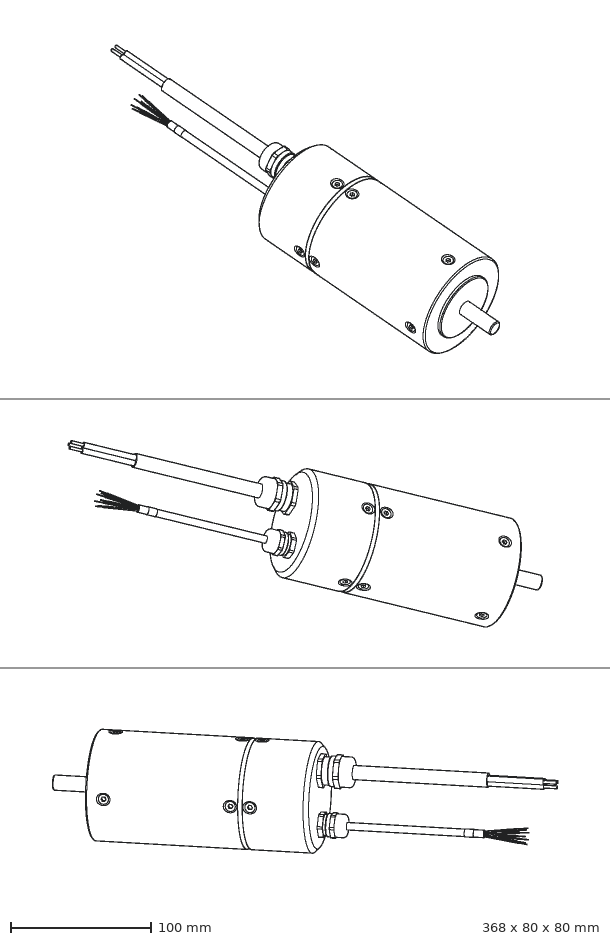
import cadquery as cq
import math


OVERLAP = 1.0
CLEARANCE = 3.5

housing_diameter = 80.0
housing_radius = housing_diameter / 2
housing_length = 162.5
rear_chamfer = 3.3
front_chamfer = 1.0
boss_diameter = 50.8
boss_length = 2.5
boss_chamfer = 0.7
shaft_diameter = 11.0
shaft_length = 29.5
shaft_chamfer = 0.7

band_start = 48.0
band_width = 3.3
band_depth = 0.5

screw_stations = (42.5, 56.5, 149.5)
screws_around = 4
countersink_diameter = 10.0
head_diameter = 7.5
head_recess = 0.7
socket_diameter = 3.5
socket_depth = 2.2

gland_offset = 20.0
hex_corner_ratio = 1.1
nut_fillet = 2.5
rear_nut_chamfer = 0.55

power_length = 173.5
power_gland_diameter = 22.0
power_neck_diameter = 20.2
power_nut_span = (7.7, 24.5)
power_lock_hex_span = (11.8, 16.0)
power_hex_turn = -8
power_base_hex = 3.3
power_sheath_diameter = 10.3
power_sheath_length = 123.0
core_count = 3
core_diameter = 4.0
core_ring_radius = 2.4
core_length = 163.8
conductor_diameter = 2.2
core_turn = 5

signal_length = 151.2
signal_gland_diameter = 17.0
signal_neck_diameter = 15.5
signal_nut_span = (5.5, 20.0)
signal_lock_hex_span = (9.0, 12.0)
signal_hex_turn = 0
signal_base_hex = 3.5
signal_sheath_diameter = 5.5
signal_sheath_length = 120.0
sleeve_diameter = 6.0
sleeve_start = 106.0
sleeve_length = 6.5
wire_count = 7
wire_diameter = 1.0
wire_conductor_diameter = 0.5
wire_root_radius = 1.5
wire_tip_radius = 6.0
wire_bare_fraction = 0.2


def rod(diameter, start, end, y=0.0, z=0.0):
    """Cylinder along X between two stations."""
    return cq.Workplane("YZ", origin=(start, y, z)).circle(diameter / 2).extrude(end - start)


def rod_between(diameter, start, end):
    """Cylinder along the straight line joining two points."""
    direction = end - start
    return cq.Workplane(cq.Solid.makeCylinder(diameter / 2, direction.Length, start, direction))


def hexagon(across_flats, start, end, z, turn):
    """Hexagonal prism along X with rounded corners; at zero turn two flats face up and down."""
    across_corners = across_flats / math.cos(math.pi / 6)
    prism = cq.Workplane("YZ").polygon(6, across_corners).extrude(end - start)
    prism = prism.intersect(rod(across_flats * hex_corner_ratio, 0, end - start))
    return prism.rotate((0, 0, 0), (1, 0, 0), turn).translate((start, 0, z))


def ring_point(x, radius, index, count, z, turn=0):
    """Point on a ring around a cable axis; index 0 at zero turn is the lowest place."""
    angle = math.radians(360 * index / count - 90 + turn)
    return cq.Vector(x, radius * math.cos(angle), z + radius * math.sin(angle))


def make_housing():
    body = rod(housing_diameter, 0, housing_length)
    body = body.faces("<X").chamfer(rear_chamfer)
    body = body.faces(">X").chamfer(front_chamfer)
    band_end = band_start + band_width
    band = rod(housing_diameter + 2 * CLEARANCE, band_start, band_end)
    band = band.cut(rod(housing_diameter - 2 * band_depth, band_start, band_end))
    body = body.cut(band)

    boss_end = housing_length + boss_length
    boss = rod(boss_diameter, housing_length - OVERLAP, boss_end).faces(">X").chamfer(boss_chamfer)
    shaft = rod(shaft_diameter, housing_length, boss_end + shaft_length).faces(">X").chamfer(shaft_chamfer)
    return body.union(boss).union(shaft)


def make_screw_recess(x):
    """Countersink down to a flat screw head, with a hexagon socket in the head."""
    profile = [
        (0, housing_radius - head_recess),
        (head_diameter / 2, housing_radius - head_recess),
        (countersink_diameter / 2, housing_radius),
        (countersink_diameter / 2, housing_radius + CLEARANCE),
        (0, housing_radius + CLEARANCE),
    ]
    countersink = cq.Workplane("XZ").polyline(profile).close().revolve(360, (0, 0), (0, 1))
    socket_floor = housing_radius - head_recess - socket_depth
    socket = cq.Workplane("XY", origin=(0, 0, socket_floor))
    socket = socket.polygon(6, socket_diameter).extrude(socket_depth + head_recess)
    return countersink.union(socket).translate((x, 0, 0))


def make_gland(z, diameter, neck_diameter, nut_span, lock_hex_span, base_hex, turn):
    nut_front, nut_rear = nut_span
    nut = rod(diameter, -nut_rear, -nut_front, 0, z)
    nut = nut.faces("<X").edges().fillet(nut_fillet)
    nut = nut.faces(">X").edges().chamfer(rear_nut_chamfer)
    neck = rod(neck_diameter, -nut_front - OVERLAP, OVERLAP, 0, z)
    lock_hex = hexagon(diameter, -lock_hex_span[1], -lock_hex_span[0], z, turn)
    base = hexagon(diameter, -base_hex, OVERLAP, z, turn)
    return nut.union(neck).union(lock_hex).union(base)


def make_power_cable(z):
    cable = rod(power_sheath_diameter, -power_sheath_length, -power_nut_span[0], 0, z)
    for index in range(core_count):
        place = ring_point(0, core_ring_radius, index, core_count, z, core_turn)
        cable = cable.union(rod(core_diameter, -core_length, OVERLAP - power_sheath_length, place.y, place.z))
        cable = cable.union(rod(conductor_diameter, -power_length, OVERLAP - core_length, place.y, place.z))
    return cable


def make_signal_cable(z):
    cable = rod(signal_sheath_diameter, -signal_sheath_length, -signal_nut_span[0], 0, z)
    cable = cable.union(rod(sleeve_diameter, -sleeve_start - sleeve_length, -sleeve_start, 0, z))
    for index in range(wire_count):
        root = ring_point(OVERLAP - signal_sheath_length, wire_root_radius, index, wire_count, z)
        tip = ring_point(-signal_length, wire_tip_radius, index, wire_count, z)
        insulation_end = tip + (root - tip) * wire_bare_fraction
        cable = cable.union(rod_between(wire_diameter, root, insulation_end))
        cable = cable.union(rod_between(wire_conductor_diameter, root, tip))
    return cable


result = make_housing()

for station in screw_stations:
    recess = make_screw_recess(station)
    for index in range(screws_around):
        result = result.cut(recess.rotate((0, 0, 0), (1, 0, 0), index * 360 / screws_around))

result = result.union(make_gland(
    gland_offset, power_gland_diameter, power_neck_diameter,
    power_nut_span, power_lock_hex_span, power_base_hex, power_hex_turn,
))
result = result.union(make_power_cable(gland_offset))

result = result.union(make_gland(
    -gland_offset, signal_gland_diameter, signal_neck_diameter,
    signal_nut_span, signal_lock_hex_span, signal_base_hex, signal_hex_turn,
))
result = result.union(make_signal_cable(-gland_offset))